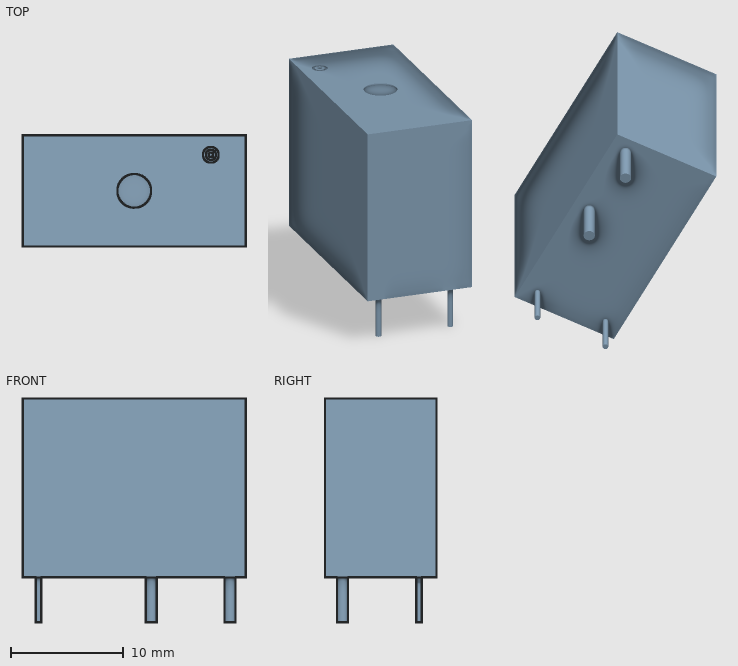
import cadquery as cq

case_length = 19.8
case_width = 9.9
case_height = 15.9

pin_length = 4.0
coil_pin_diameter = 0.5
contact_pin_diameter = 1.0
pin_row_y = 3.4
coil_pin_x = -8.5
common_pin_x = 1.5
open_pin_x = 8.5

recess_diameter = 3.0
recess_depth = 0.15

mark_x = 6.8
mark_y = 3.2
mark_outer_diameter = 1.4
mark_inner_diameter = 0.9
mark_dot_diameter = 0.4
mark_depth = 0.1


def make_case():
    return cq.Workplane("XY").box(case_length, case_width, case_height, centered=(True, True, False))


def make_pins(diameter, positions):
    """Round pins hanging from the underside of the case."""
    return cq.Workplane("XY").pushPoints(positions).circle(diameter / 2).extrude(-pin_length)


def make_recess():
    top = cq.Workplane("XY").workplane(offset=case_height)
    return top.circle(recess_diameter / 2).extrude(-recess_depth)


def make_mark():
    """Annular groove and centre dot, as the volume to remove."""
    top = cq.Workplane("XY", origin=(mark_x, mark_y, case_height))
    groove = top.circle(mark_outer_diameter / 2).circle(mark_inner_diameter / 2).extrude(-mark_depth)
    dot = top.circle(mark_dot_diameter / 2).extrude(-mark_depth)
    return groove.union(dot)


coil_pins = make_pins(coil_pin_diameter, [(coil_pin_x, -pin_row_y), (coil_pin_x, pin_row_y)])
contact_pins = make_pins(contact_pin_diameter, [(common_pin_x, -pin_row_y), (open_pin_x, -pin_row_y)])

result = make_case().union(coil_pins).union(contact_pins).cut(make_recess()).cut(make_mark())